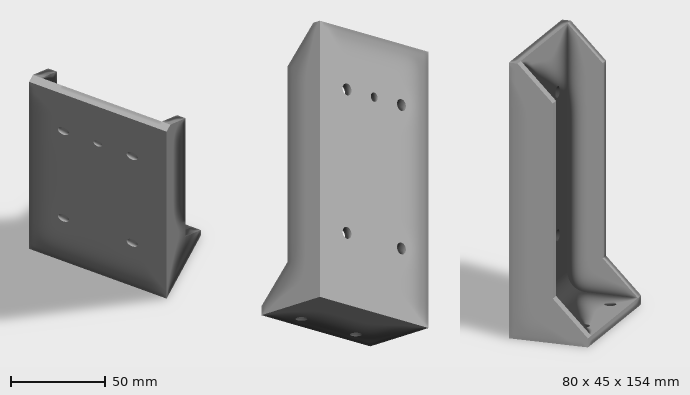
import cadquery as cq

width = 80.0
depth = 45.0
height = 154.0
thickness = 5.0

wall_depth = 25.0
slope_run = depth - wall_depth
foot_slope_top = thickness + slope_run
top_slope_bottom = height - (wall_depth - thickness)

inner_radius = 10.0

mount_diameter = 6.5
center_diameter = 5.04
hole_spacing = 40.0
plate_hole_heights = (40.0, 120.0)
center_hole_height = 120.0
base_hole_y = 35.0


def make_side_profile():
    """Side outline in the YZ plane, extruded over the full width."""
    return (
        cq.Workplane("YZ")
        .moveTo(0, 0)
        .lineTo(depth, 0)
        .lineTo(depth, thickness)
        .lineTo(wall_depth, foot_slope_top)
        .lineTo(wall_depth, top_slope_bottom)
        .lineTo(thickness, height)
        .lineTo(0, height)
        .close()
        .extrude(width / 2, both=True)
    )


def make_inner_space():
    """Space between the side walls, rounded where plate meets base."""
    return (
        cq.Workplane("XY")
        .box(width - 2 * thickness, depth, height, centered=(True, False, False))
        .translate((0, thickness, thickness))
        .edges("<Y and <Z")
        .fillet(inner_radius)
    )


def make_plate_hole(x, z, diameter):
    """Cutter along Y through the back plate."""
    return cq.Workplane("XZ", origin=(x, 0, z)).circle(diameter / 2).extrude(-depth)


def make_base_hole(x):
    """Cutter along Z through the base."""
    return cq.Workplane("XY", origin=(x, base_hole_y, 0)).circle(mount_diameter / 2).extrude(height)


result = make_side_profile().cut(make_inner_space())
result = result.cut(make_plate_hole(0, center_hole_height, center_diameter))
for hole_x in (-hole_spacing / 2, hole_spacing / 2):
    result = result.cut(make_base_hole(hole_x))
    for hole_z in plate_hole_heights:
        result = result.cut(make_plate_hole(hole_x, hole_z, mount_diameter))